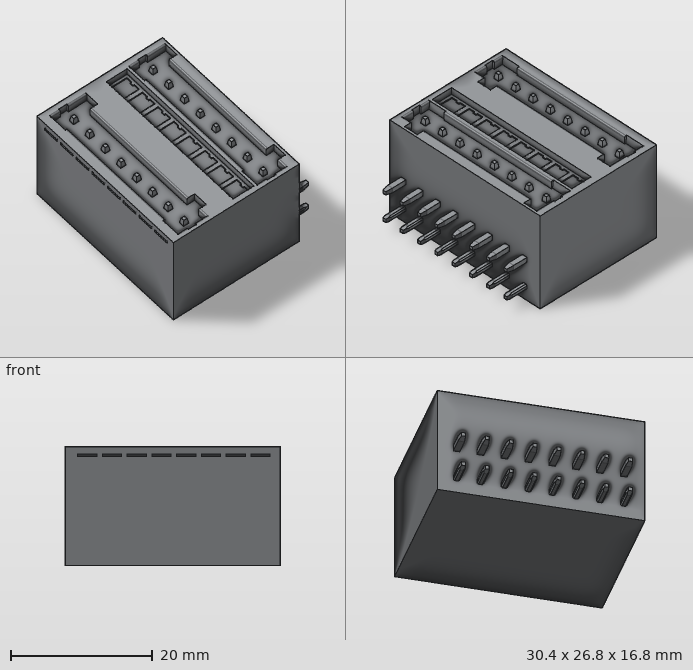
import cadquery as cq

length = 30.4
depth = 23.0
height = 16.8

contact_count = 8
pitch = 3.5
contact_center = 15.35
contact_xs = [contact_center + (i - (contact_count - 1) / 2) * pitch for i in range(contact_count)]

socket_center = 15.38
front_socket_y = 1.5
socket_spacing = 14.47
rear_socket_y = front_socket_y + socket_spacing
socket_depth = 1.4
socket_floor = height - socket_depth
socket_length = 28.18
socket_width = 5.2
front_wall_lean = 0.18
lead_in_radius = 0.25
tolerance = 0.003
socket_left = socket_center - socket_length / 2
socket_right = socket_center + socket_length / 2

recess_back = 6.6
left_recess_end = 3.7
right_recess_start = 25.3
right_recess_end = 27.85

keyway_length = 28.88
keyway_width = 1.5
keyway_center = 2.5

rib_length = 21.75
rib_thickness = 0.4

trough_length = socket_length
trough_front = 11.67
trough_width = 3.8
trough_depth = 1.2
window_length = 2.75
window_width = 2.9
window_depth = 0.18
window_tab_length = 0.6
window_tab_width = 0.25

slot_height = 0.35
slot_depth = 1.0

pin_offset = 2.77
pin_size = 0.95
rear_pin_thickness = 0.88
tail_bevel = 0.2
tip_size = 0.58
pin_height = 1.0
pin_taper = 0.9
tail_length = 3.8
upper_tail_z = 7.4
lower_tail_z = 2.4
upper_tail_taper = 1.15
lower_tail_taper = 0.97


def block(x0, x1, y0, y1, z0, z1):
    """Box given by its limits along each axis."""
    return cq.Workplane("XY").box(x1 - x0, y1 - y0, z1 - z0, centered=False).translate((x0, y0, z0))


def socket(y):
    """Volume removed for one plug socket whose front wall meets the top face at y."""
    shape = (
        cq.Workplane("YZ", origin=(socket_left, 0, 0))
        .polyline([
            (y, height),
            (y + front_wall_lean, socket_floor),
            (y + socket_width, socket_floor),
            (y + socket_width, height),
        ]).close()
        .extrude(socket_length)
    )
    key_y = y + keyway_center
    key_left = socket_center - keyway_length / 2
    for x0, x1, y0, y1 in (
        (socket_left, left_recess_end, key_y, y + recess_back),
        (right_recess_start, right_recess_end, key_y, y + recess_back),
        (key_left, key_left + keyway_length, key_y - keyway_width / 2, key_y + keyway_width / 2),
    ):
        shape = shape.union(block(x0, x1, y0, y1, socket_floor, height))
    rib_left = socket_center - rib_length / 2
    return shape.cut(block(rib_left, rib_left + rib_length, y, y + rib_thickness, socket_floor, height))


def is_rim(edge, y):
    """True for a top edge on an end wall, on the back wall or along the rib of the socket at y."""
    center = edge.Center()
    box = edge.BoundingBox()

    def at(value, places):
        return any(abs(value - place) < tolerance for place in places)

    if box.zmin < height - tolerance or not y - tolerance < center.y < y + recess_back:
        return False
    if box.xlen < tolerance:
        return at(center.x, (socket_left, socket_right))
    return at(center.y, (y + socket_width, y + rib_thickness))


def round_rims(solid, y):
    """Round the mouth of the socket at y where the plug is led in."""
    rims = [edge for edge in solid.edges("|X or |Y").vals() if is_rim(edge, y)]
    return solid.newObject(rims).fillet(lead_in_radius)


def window(x, y, floor):
    """Window recess centred on x, y with a tab in the middle of its front and back edges."""
    def plate(size_x, size_y, center_y):
        return block(
            x - size_x / 2, x + size_x / 2, center_y - size_y / 2, center_y + size_y / 2,
            floor - window_depth, floor,
        )

    shape = plate(window_length, window_width, y)
    tab_shift = (window_width - window_tab_width) / 2
    for side in (-1, 1):
        shape = shape.cut(plate(window_tab_length, window_tab_width, y + side * tab_shift))
    return shape


def contact(plane, thickness, total, taper):
    """Straight contact along the plane normal, ending in a tapered square tip."""
    straight = cq.Workplane(plane).rect(pin_size, thickness).extrude(total - taper)
    tip = (
        cq.Workplane(plane).workplane(offset=total - taper).rect(pin_size, thickness)
        .workplane(offset=taper).rect(tip_size, tip_size)
        .loft(ruled=True)
    )
    return straight.union(tip)


def pin(x, y, thickness):
    """Contact standing on a socket floor."""
    plane = cq.Plane((x, y, socket_floor), (1, 0, 0), (0, 0, 1))
    return contact(plane, thickness, pin_height, pin_taper)


def tail(x, z, thickness, taper, bevel=0.0):
    """Contact tail leaving the back face; a bevel makes its section eight-sided."""
    plane = cq.Plane((x, depth, z), (1, 0, 0), (0, 1, 0))
    shape = contact(plane, thickness, tail_length, taper)
    if bevel:
        envelope = cq.Workplane(plane).rect(pin_size, thickness).extrude(tail_length)
        shape = shape.intersect(envelope.edges("|Y").chamfer(bevel))
    return shape


body = block(0, length, 0, depth, 0, height)

for y in (front_socket_y, rear_socket_y):
    body = round_rims(body.cut(socket(y)), y)

trough_floor = height - trough_depth
body = body.cut(
    block(
        socket_center - trough_length / 2, socket_center + trough_length / 2,
        trough_front, trough_front + trough_width, trough_floor, height,
    )
)
for x in contact_xs:
    body = body.cut(window(x, trough_front + trough_width / 2, trough_floor))

for x in contact_xs:
    body = body.cut(
        block(
            x - window_length / 2, x + window_length / 2, 0, slot_depth,
            socket_floor, socket_floor + slot_height,
        )
    )

for x in contact_xs:
    body = body.union(pin(x, front_socket_y + pin_offset, pin_size))
    body = body.union(pin(x, rear_socket_y + pin_offset, rear_pin_thickness))
    body = body.union(tail(x, upper_tail_z, rear_pin_thickness, upper_tail_taper))
    body = body.union(tail(x, lower_tail_z, pin_size, lower_tail_taper, tail_bevel))

result = body